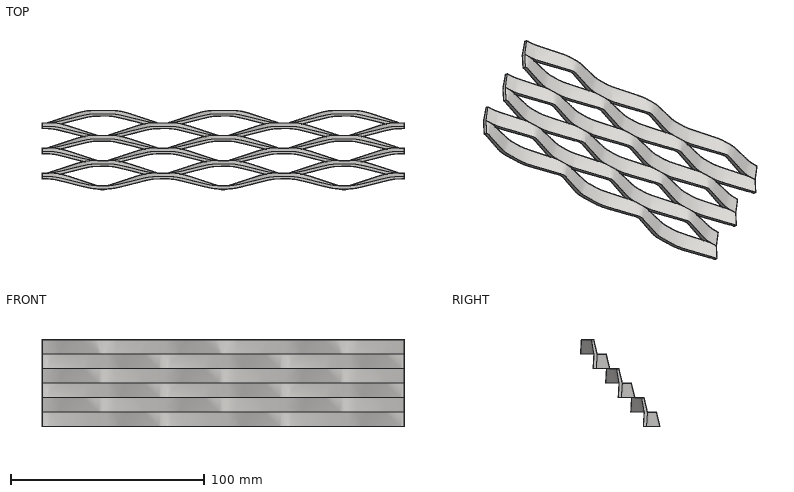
import cadquery as cq
import math

WAVE_LENGTH = 62.5
HALF_WAVE = WAVE_LENGTH / 2
WAVE_COUNT = 3
LAYER_COUNT = 6
LAYER_HEIGHT = 7.5
LAYER_STEP = 6.5
STRAND_DEPTH = 8.675
BOND_WIDTH = 1.75

SOFT_RADIUS = 27.0
NOSE_RADIUS = 5.0
NOSE_HALF_FLAT = 1.05
SPLINE_STEPS = 20

BOTTOM_BACK = (0.0, -7.0, 9.0, NOSE_HALF_FLAT, NOSE_RADIUS)
BOTTOM_FRONT = (-BOND_WIDTH, -STRAND_DEPTH, 8.0, NOSE_HALF_FLAT, NOSE_RADIUS)
TOP_BACK = (-BOND_WIDTH, -LAYER_STEP, 6.5, 5.5, SOFT_RADIUS)
TOP_FRONT = (-3.0, -LAYER_STEP - BOND_WIDTH, 5.4, 5.2, SOFT_RADIUS)


def rounded_ramp(distance, slope, radius):
    """Height of a straight ramp that starts at distance 0, its corner eased by the radius."""
    reach = radius * math.tan(math.atan(slope) / 2)
    if distance <= -reach:
        return 0.0
    if distance >= reach:
        return slope * distance
    return slope * (distance + reach) ** 2 / (4 * reach)


def edge_y(edge, x):
    """Y of a strand edge at x, with a crest at x = 0 and a trough half a wave away."""
    crest, trough, crest_flat, trough_flat, trough_radius = edge
    from_crest = abs((x + HALF_WAVE) % WAVE_LENGTH - HALF_WAVE)
    ramp_start = crest_flat
    ramp_end = HALF_WAVE - trough_flat
    slope = (crest - trough) / (ramp_end - ramp_start)
    fall = rounded_ramp(from_crest - ramp_start, slope, SOFT_RADIUS)
    ease = rounded_ramp(from_crest - ramp_end, slope, trough_radius)
    return crest - fall + ease


def wave_outline(back, front, shift, z):
    """Closed outline of one wave of a strand at height z, starting shift past a crest."""
    xs = [WAVE_LENGTH * step / SPLINE_STEPS for step in range(SPLINE_STEPS + 1)]
    back_points = [(x, edge_y(back, x + shift)) for x in xs]
    front_points = [(x, edge_y(front, x + shift)) for x in reversed(xs)]
    return (
        cq.Workplane("XY", origin=(0, 0, z))
        .moveTo(*back_points[0])
        .spline(back_points[1:], tangents=[(1, 0), (1, 0)], includeCurrent=True)
        .lineTo(*front_points[0])
        .spline(front_points[1:], tangents=[(-1, 0), (-1, 0)], includeCurrent=True)
        .close()
        .val()
    )


def strand_wave(shift):
    """One wave of a strand, ruled between its bottom and top outlines."""
    bottom = wave_outline(BOTTOM_BACK, BOTTOM_FRONT, shift, 0)
    top = wave_outline(TOP_BACK, TOP_FRONT, shift, LAYER_HEIGHT)
    return cq.Solid.makeLoft([bottom, top], True)


def mesh():
    """All strands; the top one starts on a crest and they alternate downward."""
    wave_from_crest = strand_wave(0)
    wave_from_trough = strand_wave(HALF_WAVE)
    pieces = []
    for layer in range(LAYER_COUNT):
        steps_from_top = LAYER_COUNT - 1 - layer
        piece = wave_from_crest if steps_from_top % 2 == 0 else wave_from_trough
        for wave in range(WAVE_COUNT):
            place = cq.Vector(wave * WAVE_LENGTH, steps_from_top * LAYER_STEP, layer * LAYER_HEIGHT)
            pieces.append(piece.translate(place))
    return cq.Workplane(pieces[0].fuse(*pieces[1:])).solids()


result = mesh()